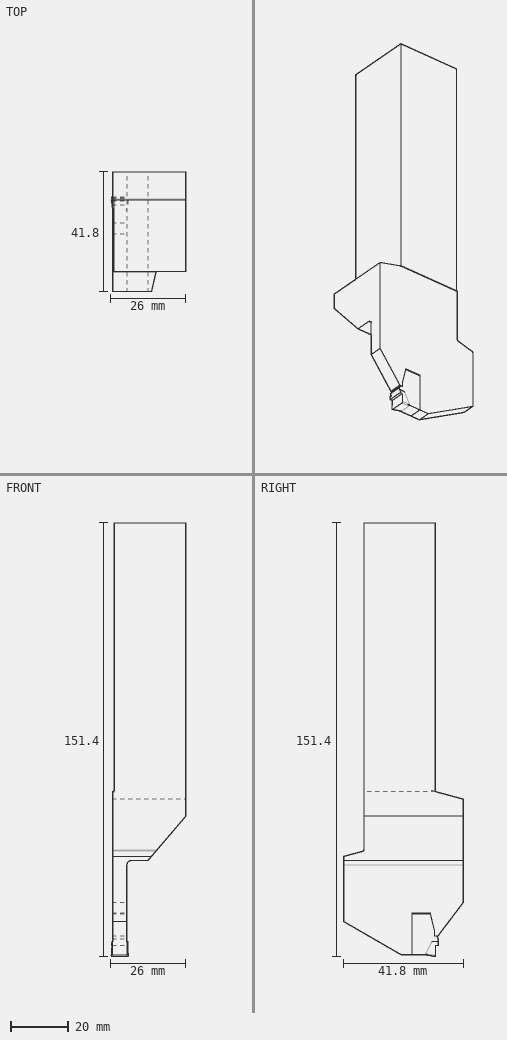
import cadquery as cq
import math


shank_side = 25.0
shank_half = shank_side / 2
overall_height = 151.35

head_step = 0.54
shoulder_angle = 15.0
back_overhang = 9.76
front_overhang = 7.0
back_shoulder_z = 55.0
front_shoulder_z = 36.9
back_bevel_z = 18.9
nose_y = 13.4
holder_bottom_z = 0.6
bottom_front_y = 0.6
front_bevel_angle = 30.0
shank_root_radius = 0.5

blade_thickness = 5.0
head_underside_z = 33.5
relief_start_z = 49.0
relief_angle = 40.5
blade_root_radius = 1.5

seat_front_y = 4.4
seat_back_y = 12.2
seat_nose_z = 7.2
seat_taper_z = 9.0
insert_top_z = 14.9
insert_top_y = 10.75
seat_end_gap = 0.3
cutting_width = 6.05
cutting_edge_y = 12.55
chip_ridge_y = 13.5
chip_ridge_bottom_z = 3.85
chip_ridge_top_z = 6.2
ridge_bevel_y = 13.0
tip_top_z = 5.25
flank_top_y = 11.3
flank_bottom_y = 8.9
corner_radius = 0.4

blade_left_x = -shank_half - head_step
blade_right_x = blade_left_x + blade_thickness
blade_middle_x = (blade_left_x + blade_right_x) / 2
back_y = shank_half + back_overhang
front_y = -shank_half - front_overhang
shoulder_slope = math.tan(math.radians(shoulder_angle))
head_top_z = back_shoulder_z + back_overhang * shoulder_slope
front_shoulder_outer_z = front_shoulder_z - front_overhang * shoulder_slope
front_bevel_z = holder_bottom_z + (bottom_front_y - front_y) * math.tan(math.radians(front_bevel_angle))


def prism(outline, x_start, x_end):
    """Extrude a closed outline of (y, z) points from x_start to x_end."""
    return cq.Workplane("YZ", origin=(x_start, 0, 0)).polyline(outline).close().extrude(x_end - x_start)


def make_shank():
    height = overall_height - head_top_z
    base = cq.Workplane("XY", origin=(0, 0, head_top_z))
    return base.rect(shank_side, shank_side).extrude(height)


def make_head():
    """Head and blade as one profile, open at the bottom where the insert sits."""
    outline = [
        (-shank_half, head_top_z),
        (-shank_half, front_shoulder_z),
        (front_y, front_shoulder_outer_z),
        (front_y, front_bevel_z),
        (bottom_front_y, holder_bottom_z),
        (seat_front_y, holder_bottom_z),
        (seat_front_y, insert_top_z + seat_end_gap),
        (insert_top_y, insert_top_z + seat_end_gap),
        (insert_top_y, insert_top_z),
        (seat_back_y, seat_taper_z),
        (seat_back_y, seat_nose_z),
        (nose_y, seat_nose_z),
        (back_y, back_bevel_z),
        (back_y, back_shoulder_z),
        (shank_half, head_top_z),
    ]
    head = prism(outline, blade_left_x, shank_half)
    front_root = cq.selectors.NearestToPointSelector((0, -shank_half, front_shoulder_z))
    return head.edges("|X").edges(front_root).fillet(shank_root_radius)


def make_relief():
    """Material removed on the +X side to leave the thin blade."""
    relief_depth = (relief_start_z - head_underside_z) * math.tan(math.radians(relief_angle))
    outline = [
        (shank_half, relief_start_z),
        (shank_half - relief_depth, head_underside_z),
        (blade_right_x, head_underside_z),
        (blade_right_x, 0),
        (shank_half, 0),
    ]
    body = cq.Workplane("XZ", origin=(0, back_y, 0)).polyline(outline).close().extrude(back_y - front_y)
    root = cq.selectors.NearestToPointSelector((blade_right_x, (back_y + front_y) / 2, head_underside_z))
    return body.edges(root).fillet(blade_root_radius)


def make_holder():
    holder = make_shank().union(make_head()).cut(make_relief())
    step_root = cq.selectors.NearestToPointSelector((-shank_half, 0, head_top_z))
    back_root = cq.selectors.NearestToPointSelector((0, shank_half, head_top_z))
    holder = holder.edges(back_root).fillet(shank_root_radius)
    return holder.edges(step_root).fillet(shank_root_radius)


def make_insert_body():
    outline = [
        (seat_front_y, holder_bottom_z),
        (seat_front_y, insert_top_z),
        (insert_top_y, insert_top_z),
        (seat_back_y, seat_taper_z),
        (seat_back_y, seat_nose_z),
        (ridge_bevel_y, seat_nose_z),
        (chip_ridge_y, chip_ridge_top_z),
        (chip_ridge_y, chip_ridge_bottom_z),
        (cutting_edge_y, chip_ridge_bottom_z),
        (cutting_edge_y, holder_bottom_z),
    ]
    return prism(outline, blade_left_x, blade_right_x)


def make_insert_tip():
    """Cutting tip: widest at the cutting edge, with flanks that taper to the body's width."""
    outline = [
        (cutting_edge_y, 0),
        (cutting_edge_y, chip_ridge_bottom_z),
        (chip_ridge_y, chip_ridge_bottom_z),
        (chip_ridge_y, tip_top_z),
        (flank_top_y, tip_top_z),
        (flank_bottom_y, holder_bottom_z),
    ]
    tip = prism(outline, blade_middle_x - cutting_width / 2, blade_middle_x + cutting_width / 2)
    lower_corners = cq.selectors.BoxSelector(
        (blade_left_x - cutting_width, flank_bottom_y, -corner_radius),
        (blade_right_x + cutting_width, cutting_edge_y, holder_bottom_z),
    )
    tip = tip.intersect(make_flank_wedge())
    return tip.edges(lower_corners).edges("not(#X or |X)").fillet(corner_radius)


def make_flank_wedge():
    """Long wedge along the runout line whose two sides are the flank planes of the tip."""
    run_y = flank_top_y - flank_bottom_y
    run_z = tip_top_z - holder_bottom_z
    run_length = math.hypot(run_y, run_z)
    edge_distance = ((cutting_edge_y - flank_bottom_y) * run_z + holder_bottom_z * run_y) / run_length
    across = cq.Plane(
        origin=(blade_middle_x, flank_bottom_y, holder_bottom_z),
        xDir=(1, 0, 0),
        normal=(0, run_y, run_z),
    )
    narrow = blade_thickness / 2
    wide = cutting_width / 2
    section = [(-narrow, 0), (narrow, 0), (wide, edge_distance), (-wide, edge_distance)]
    return cq.Workplane(across).polyline(section).close().extrude(run_length * 2, both=True)


def make_insert():
    return make_insert_body().union(make_insert_tip())


holder = make_holder()
insert = make_insert()
result = cq.Compound.makeCompound([holder.solids().val(), insert.solids().val()])